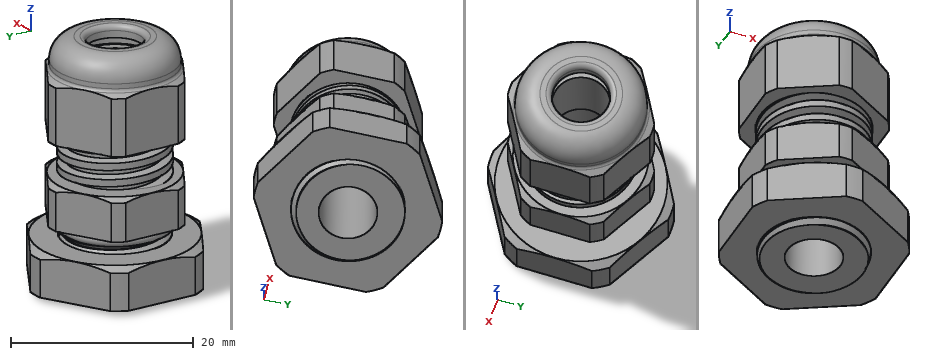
import cadquery as cq
import math


LOCKNUT_BOTTOM = 0.67
LOCKNUT_TOP = 5.7
COLLAR_BOTTOM = 7.95
COLLAR_TOP = 13.0
CAP_BOTTOM = 18.05
CAP_BAND_BOTTOM = 25.7
BODY_TOP = 26.27
CAP_LIP_BOTTOM = 27.5
CAP_TOP = 29.0

SMALL_HEX_FLATS = 15.0
SMALL_HEX_CORNER_RADIUS = 8.25
LARGE_HEX_FLATS = 19.0
LARGE_HEX_CORNER_RADIUS = 10.45
CHAMFER_ANGLE = math.radians(30)
CHAMFER_INSET = 0.03

DOME_RADIUS = 7.25
DOME_ROUNDING = 2.73
CAP_NECK_FILLET = 0.45
CAP_HOLE_FILLET = 0.65
CAP_RECESS_RADIUS = 4.58

PASSAGE_RADIUS = 3.22
SEAL_RADIUS = 4.3
SEAL_BOTTOM = CAP_BOTTOM

CAP_THREAD_CREST_RADIUS = 6.38
CAP_THREAD_ROOT_RADIUS = 5.4
CAP_THREAD_PITCH = 1.9
CAP_THREAD_CREST_WIDTH = 0.85
CAP_THREAD_ROOT_WIDTH = 1.28
CAP_THREAD_START = 11.48
CAP_THREAD_TURNS = 6
CAP_THREAD_CLEARANCE = 0.05

MOUNT_THREAD_CREST_RADIUS = 6.24
MOUNT_THREAD_ROOT_RADIUS = 5.68
MOUNT_THREAD_PITCH = 1.28
MOUNT_THREAD_FLAT = 0.1
MOUNT_THREAD_START = -1.5
MOUNT_THREAD_TURNS = 7
MOUNT_THREAD_CLEARANCE = 0.03

ORING_CORD_RADIUS = 0.7
ORING_RING_RADIUS = 6.03
ORING_HEIGHT = COLLAR_BOTTOM - ORING_CORD_RADIUS

RIDGE_ROOT_SINK = 0.03


def cylinder(radius, bottom, top):
    return cq.Workplane("XY").workplane(offset=bottom).circle(radius).extrude(top - bottom)


def hex_prism(flats, bottom, top):
    """Hexagonal prism with two flats facing +X and -X."""
    half_side_angle = 30
    corner_diameter = flats / math.cos(math.radians(half_side_angle))
    prism = cq.Workplane("XY").workplane(offset=bottom).polygon(6, corner_diameter).extrude(top - bottom)
    return prism.rotate((0, 0, 0), (0, 0, 1), half_side_angle)


def chamfered_hexagon(flats, corner_radius, bottom, top):
    """Hexagonal block with turned corners and a conical chamfer around its top face."""
    chamfer_radius = flats / 2 - CHAMFER_INSET
    chamfer_drop = (corner_radius - chamfer_radius) * math.tan(CHAMFER_ANGLE)
    turned_blank = (
        cq.Workplane("XZ")
        .moveTo(0, bottom)
        .lineTo(corner_radius, bottom)
        .lineTo(corner_radius, top - chamfer_drop)
        .lineTo(chamfer_radius, top)
        .lineTo(0, top)
        .close()
        .revolve(360, (0, 0), (0, 1))
    )
    return turned_blank.intersect(hex_prism(flats, bottom, top))


def thread_ridge(root_radius, crest_radius, root_width, crest_width, pitch, start, turns):
    """Right-handed helical ridge that starts on the +X side."""
    flank_slope = (root_width - crest_width) / 2 / (crest_radius - root_radius)
    sunk_radius = root_radius - RIDGE_ROOT_SINK
    sunk_half_width = root_width / 2 + RIDGE_ROOT_SINK * flank_slope
    helix = cq.Wire.makeHelix(pitch, pitch * turns, root_radius).translate(cq.Vector(0, 0, start))
    section = cq.Workplane("XZ").polyline(
        [
            (sunk_radius, start - sunk_half_width),
            (crest_radius, start - crest_width / 2),
            (crest_radius, start + crest_width / 2),
            (sunk_radius, start + sunk_half_width),
        ]
    ).close()
    return section.sweep(cq.Workplane(helix), isFrenet=True)


def make_oring():
    return (
        cq.Workplane("XZ")
        .center(ORING_RING_RADIUS, ORING_HEIGHT)
        .circle(ORING_CORD_RADIUS)
        .revolve(360, (-ORING_RING_RADIUS, 0), (-ORING_RING_RADIUS, 1))
    )


def make_mounting_stud():
    """Lower threaded stud; its thread runs up into the O-ring groove and is cut flat at the bottom."""
    core = cylinder(MOUNT_THREAD_ROOT_RADIUS, 0, COLLAR_BOTTOM)
    ridge = thread_ridge(
        MOUNT_THREAD_ROOT_RADIUS,
        MOUNT_THREAD_CREST_RADIUS,
        MOUNT_THREAD_PITCH - MOUNT_THREAD_FLAT,
        MOUNT_THREAD_FLAT,
        MOUNT_THREAD_PITCH,
        MOUNT_THREAD_START,
        MOUNT_THREAD_TURNS,
    )
    thread_envelope = cylinder(LARGE_HEX_CORNER_RADIUS, 0, ORING_HEIGHT)
    return core.union(ridge.intersect(thread_envelope))


def make_cap_stud():
    """Upper threaded stud that carries the cap nut."""
    core = cylinder(CAP_THREAD_ROOT_RADIUS, COLLAR_BOTTOM, BODY_TOP)
    ridge = thread_ridge(
        CAP_THREAD_ROOT_RADIUS,
        CAP_THREAD_CREST_RADIUS,
        CAP_THREAD_ROOT_WIDTH,
        CAP_THREAD_CREST_WIDTH,
        CAP_THREAD_PITCH,
        CAP_THREAD_START,
        CAP_THREAD_TURNS,
    )
    return core.union(ridge)


def make_gland_body(oring):
    collar = chamfered_hexagon(SMALL_HEX_FLATS, SMALL_HEX_CORNER_RADIUS, COLLAR_BOTTOM, COLLAR_TOP)
    body = make_cap_stud().union(collar).union(make_mounting_stud().cut(oring))
    passage = cylinder(PASSAGE_RADIUS, 0, BODY_TOP)
    seal_seat = cylinder(SEAL_RADIUS, SEAL_BOTTOM, BODY_TOP)
    return body.cut(passage).cut(seal_seat)


def make_seal():
    """Clamping sleeve, flush with the top of the gland body."""
    return cylinder(SEAL_RADIUS, SEAL_BOTTOM, BODY_TOP).cut(cylinder(PASSAGE_RADIUS, SEAL_BOTTOM, BODY_TOP))


def make_cap_nut():
    """Domed hexagonal cap with a rounded cable hole, a recess over the seal and a thread bore."""
    bore_radius = CAP_THREAD_CREST_RADIUS + CAP_THREAD_CLEARANCE
    dome_start = CAP_TOP - DOME_ROUNDING
    dome_centre_radius = DOME_RADIUS - DOME_ROUNDING
    diagonal = math.sqrt(0.5)

    fillet_centre_radius = DOME_RADIUS + CAP_NECK_FILLET
    fillet_sweep = math.pi / 2 - CHAMFER_ANGLE

    def neck_fillet_point(angle):
        return (
            fillet_centre_radius - CAP_NECK_FILLET * math.cos(angle),
            CAP_BAND_BOTTOM - CAP_NECK_FILLET * math.sin(angle),
        )

    chamfer_radius, chamfer_height = neck_fillet_point(fillet_sweep)
    chamfer_drop = (SMALL_HEX_CORNER_RADIUS - chamfer_radius) * math.tan(CHAMFER_ANGLE)

    hole_fillet_radius = PASSAGE_RADIUS + CAP_HOLE_FILLET
    hole_fillet_height = CAP_TOP - CAP_HOLE_FILLET
    turned_blank = (
        cq.Workplane("XZ")
        .moveTo(bore_radius, CAP_BOTTOM)
        .lineTo(SMALL_HEX_CORNER_RADIUS, CAP_BOTTOM)
        .lineTo(SMALL_HEX_CORNER_RADIUS, chamfer_height - chamfer_drop)
        .lineTo(chamfer_radius, chamfer_height)
        .threePointArc(neck_fillet_point(fillet_sweep / 2), neck_fillet_point(0))
        .lineTo(DOME_RADIUS, dome_start)
        .threePointArc(
            (dome_centre_radius + DOME_ROUNDING * diagonal, dome_start + DOME_ROUNDING * diagonal),
            (dome_centre_radius, CAP_TOP),
        )
        .lineTo(hole_fillet_radius, CAP_TOP)
        .threePointArc(
            (
                hole_fillet_radius - CAP_HOLE_FILLET * diagonal,
                hole_fillet_height + CAP_HOLE_FILLET * diagonal,
            ),
            (PASSAGE_RADIUS, hole_fillet_height),
        )
        .lineTo(PASSAGE_RADIUS, CAP_LIP_BOTTOM)
        .lineTo(CAP_RECESS_RADIUS, CAP_LIP_BOTTOM)
        .lineTo(CAP_RECESS_RADIUS, BODY_TOP)
        .lineTo(bore_radius, BODY_TOP)
        .close()
        .revolve(360, (0, 0), (0, 1))
    )
    return turned_blank.intersect(hex_prism(SMALL_HEX_FLATS, CAP_BOTTOM, CAP_TOP))


def make_locknut():
    bore_radius = MOUNT_THREAD_CREST_RADIUS + MOUNT_THREAD_CLEARANCE
    block = chamfered_hexagon(LARGE_HEX_FLATS, LARGE_HEX_CORNER_RADIUS, LOCKNUT_BOTTOM, LOCKNUT_TOP)
    return block.cut(cylinder(bore_radius, LOCKNUT_BOTTOM, LOCKNUT_TOP))


oring = make_oring()
gland_body = make_gland_body(oring)
seal = make_seal()
cap_nut = make_cap_nut()
locknut = make_locknut()

bodies = [gland_body, cap_nut, seal, oring, locknut]
result = cq.Compound.makeCompound([body.solids().val() for body in bodies])